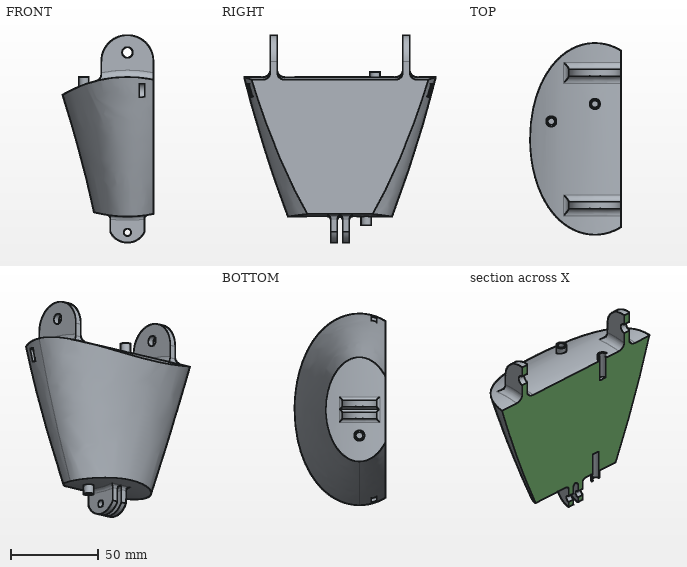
import cadquery as cq
import math

BODY_HEIGHT = 80.0
BACK_X = 15.0
TOP_ARCH_RADIUS = 72.4
LOW_ARCH_RADIUS = 76.2
BODY_SECTIONS = [
    (0.0, 18.7, 29.9),
    (0.5, 28.5, 43.7),
    (1.0, 40.6, 55.0),
]
CUTTER_SIZE = 142.8

TOP_LUG_RISE = 24.0
TOP_LUG_HALF_WIDTH = BACK_X
TOP_LUG_THICKNESS = 4.0
TOP_LUG_Y = 38.0
TOP_LUG_HOLE = 6.0
TOP_LUG_HOLE_FROM_TIP = 10.0
TOP_LUG_FILLET = 4.0
TOP_LUG_OVERRUN = 4.8

LOW_LUG_DROP = 15.0
LOW_LUG_HALF_WIDTH = 9.9
LOW_LUG_TIP_RADIUS = 11.0
LOW_LUG_THICKNESS = 3.8
LOW_LUG_GAP = 3.1
LOW_LUG_Y = (LOW_LUG_GAP + LOW_LUG_THICKNESS) / 2
LOW_LUG_HOLE = 4.0
LOW_LUG_HOLE_FROM_TIP = 6.0
LOW_LUG_FILLET = 2.0

LUG_ROOT = 11.9
SEAM_REACH = 3.6

TUBE_DIAMETER = 6.0
TUBE_BORE = 4.0
TUBE_ROOT = 14.3
LOW_TUBE_Y = 15.0
LOW_TUBE_DROP = 5.0
TOP_TUBES = [
    (0.0, 20.0, 3.0),
    (-25.0, 10.0, 0.0),
]

SLOT_X = 8.5
SLOT_WIDTH = 3.1
SLOT_DIAMETER = 8.0
SLOT_BELOW_CREST = 7.7
SLOT_CENTER_Y = 51.8


def cylinder_along_y(diameter, z):
    """Long cylinder along Y, centred on the body at height z."""
    return (
        cq.Workplane("XZ", origin=(0, 0, z))
        .circle(diameter / 2)
        .extrude(CUTTER_SIZE / 2, both=True)
    )


def make_body():
    """Lofted bucket with both ends arched, not yet cut flat at the back."""
    sections = cq.Workplane("XY")
    level = 0.0
    for share, semi_x, semi_y in BODY_SECTIONS:
        step = share * BODY_HEIGHT - level
        sections = sections.workplane(offset=step).ellipse(semi_x, semi_y)
        level += step
    bucket = sections.loft()
    bucket = bucket.intersect(cylinder_along_y(2 * TOP_ARCH_RADIUS, BODY_HEIGHT - TOP_ARCH_RADIUS))
    return bucket.intersect(cylinder_along_y(2 * LOW_ARCH_RADIUS, LOW_ARCH_RADIUS))


def plate(outline, center_y, thickness):
    """Extrude an XZ outline evenly to both sides of center_y."""
    return outline.extrude(thickness / 2, both=True).translate((0, center_y, 0))


def top_lug(center_y):
    """Round-topped lug that runs past the back so that its fillet does too."""
    tip_z = BODY_HEIGHT + TOP_LUG_RISE
    shoulder_z = tip_z - TOP_LUG_HALF_WIDTH
    root_z = BODY_HEIGHT - LUG_ROOT
    overrun_x = BACK_X + TOP_LUG_OVERRUN
    outline = (
        cq.Workplane("XZ")
        .moveTo(-TOP_LUG_HALF_WIDTH, root_z)
        .lineTo(-TOP_LUG_HALF_WIDTH, shoulder_z)
        .threePointArc((0, tip_z), (TOP_LUG_HALF_WIDTH, shoulder_z))
        .lineTo(overrun_x, shoulder_z)
        .lineTo(overrun_x, root_z)
        .close()
    )
    return plate(outline, center_y, TOP_LUG_THICKNESS)


def low_lug(center_y):
    """Hanging lug whose tip is an arc a little flatter than a half circle."""
    arc_rise = LOW_LUG_TIP_RADIUS - math.sqrt(LOW_LUG_TIP_RADIUS**2 - LOW_LUG_HALF_WIDTH**2)
    shoulder_z = arc_rise - LOW_LUG_DROP
    outline = (
        cq.Workplane("XZ")
        .moveTo(-LOW_LUG_HALF_WIDTH, LUG_ROOT)
        .lineTo(-LOW_LUG_HALF_WIDTH, shoulder_z)
        .threePointArc((0, -LOW_LUG_DROP), (LOW_LUG_HALF_WIDTH, shoulder_z))
        .lineTo(LOW_LUG_HALF_WIDTH, LUG_ROOT)
        .close()
    )
    return plate(outline, center_y, LOW_LUG_THICKNESS)


def with_lug(base, lug, center_y, thickness, crest_z, fillet):
    """Fuse a lug to the base and fillet the seam around it, which lies near crest_z."""
    reach_x = BACK_X + TOP_LUG_OVERRUN
    seam = cq.selectors.BoxSelector(
        (-reach_x, center_y - thickness, crest_z - SEAM_REACH),
        (reach_x, center_y + thickness, crest_z + SEAM_REACH),
    )
    return base.union(lug).edges(seam).fillet(fillet)


def add_tube(base, x, y, z_low, z_high):
    """Fuse an upright tube to the base and bore it over its whole length."""
    foot = cq.Workplane("XY", origin=(x, y, z_low))
    length = z_high - z_low
    base = base.union(foot.circle(TUBE_DIAMETER / 2).extrude(length))
    return base.cut(foot.circle(TUBE_BORE / 2).extrude(length))


def side_slot(side):
    """Disc cutter near the side wall that leaves a round-bottomed slot."""
    return (
        cq.Workplane("YZ", origin=(SLOT_X, side * SLOT_CENTER_Y, BODY_HEIGHT - SLOT_BELOW_CREST))
        .circle(SLOT_DIAMETER / 2)
        .extrude(SLOT_WIDTH / 2, both=True)
    )


def space_behind_back():
    """Block that fills the space beyond the flat back."""
    block = cq.Workplane("XY").box(CUTTER_SIZE, CUTTER_SIZE, 2 * CUTTER_SIZE)
    return block.translate((BACK_X + CUTTER_SIZE / 2, 0, 0))


body = make_body()
part = body

for side in (-1, 1):
    top_y = side * TOP_LUG_Y
    low_y = side * LOW_LUG_Y
    part = part.union(
        with_lug(body, top_lug(top_y), top_y, TOP_LUG_THICKNESS, BODY_HEIGHT, TOP_LUG_FILLET)
    )
    part = part.union(
        with_lug(body, low_lug(low_y), low_y, LOW_LUG_THICKNESS, 0, LOW_LUG_FILLET)
    )

top_hole_z = BODY_HEIGHT + TOP_LUG_RISE - TOP_LUG_HOLE_FROM_TIP
low_hole_z = LOW_LUG_HOLE_FROM_TIP - LOW_LUG_DROP
part = part.cut(cylinder_along_y(TOP_LUG_HOLE, top_hole_z))
part = part.cut(cylinder_along_y(LOW_LUG_HOLE, low_hole_z))

for tube_x, tube_y, rim in TOP_TUBES:
    part = add_tube(part, tube_x, tube_y, BODY_HEIGHT - TUBE_ROOT, BODY_HEIGHT + rim)
part = add_tube(part, 0, LOW_TUBE_Y, -LOW_TUBE_DROP, TUBE_ROOT)

for side in (-1, 1):
    part = part.cut(side_slot(side))

result = part.cut(space_behind_back())